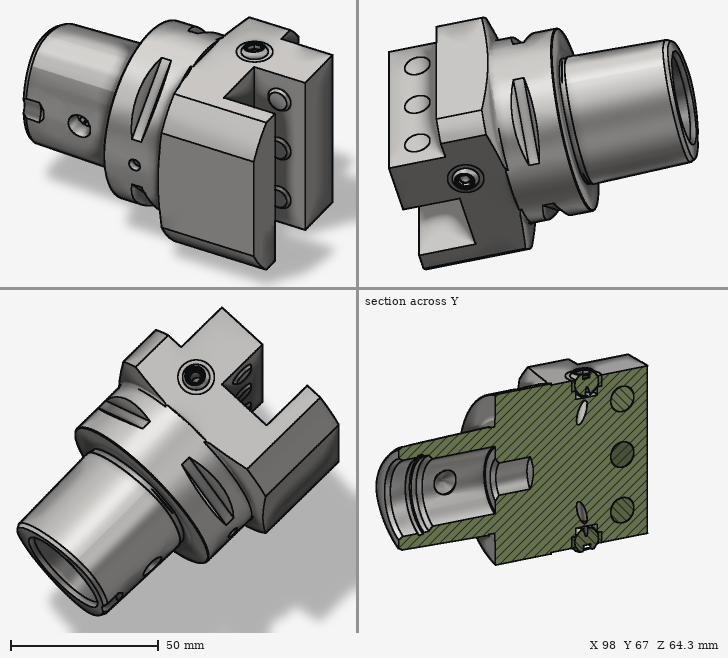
import cadquery as cq
import math


overall_length = 98.0

shank_length = 38.0
shank_width = 44.0
lobe_offset = 1.4
shank_taper = 0.05
neck_length = 2.4
neck_step = 0.3
span_steps = 12
end_chamfer_length = 1.5
end_chamfer_depth = 0.8
lobe_pitch = 120
flat_half_angle = 33.0
neck_radius = 22.4
relief_width = 1.1
relief_chamfer = 0.7
relief_depth = 1.0

notch_radius = 6.7
notch_axis_y = -24.9
notch_length = 6.5
notch_tip_depth = 1.5
notch_tip_length = 2.0
cross_hole_radius = 4.3
cross_hole_x = -15.6

entry_radius = 16.2
entry_chamfer_length = 1.8
bore_radius = 15.3
grip_groove_start = 7.6
grip_groove_end = 9.9
grip_groove_radius = 15.9
grip_groove_side = 0.3
inner_cone_start = 11.9
inner_cone_end = 13.4
inner_radius = 13.9
inner_bevel = 0.3
step_radius = 10.3
step_chamfer_length = 1.5
drill_radius = 9.0
drill_end_x = 13.7
pilot_radius = 4.3
pilot_end_x = 29.4
drill_tip_angle = 59.0

flange_diameter = 63.0
flange_radius = flange_diameter / 2
flange_width = 22.05
flange_chamfer = 0.3
collar_radius = 22.6
collar_root_radius = 24.2
collar_height = 0.3
gripper_x = 12.0
gripper_floor_width = 3.6
gripper_floor_distance = 27.8
gripper_flank_angle = 30.0
gripper_count = 4
gripper_first_angle = 45
mark_radius = 2.2
mark_depth = 2.9

head_end_x = overall_length - shank_length
head_radius = 40.0
head_cone_angle = 75.0
head_fillet_length = 0.9
head_top = 30.2
head_max_y = 32.0
head_min_y = -35.0
slot_floor_x = 40.2
tongue_max_y = 20.1
tongue_min_y = 1.0
slot_min_y = -20.1

screw_radius = 4.4
screw_x = 50.0
screw_pitch = 20.0
screw_reach = 1.1
screw_point_radius = 3.4
screw_rows = (-1, 0, 1)

nozzle_turns = (0, 180)
nozzle_x = 36.0
nozzle_y = 9.0
ring_radius = 6.2
ball_radius = 5.0
ball_depth = 2.0
ball_flat = 3.6
ball_tilt_x = -4.6
ball_tilt_y = 3.4
socket_radius = 2.5
socket_depth = 2.0
socket_chamfer = 0.4
jet_hole_radius = 2.0
ring_height = 2 * ball_depth
ring_opening = math.sqrt(ball_radius**2 - ball_depth**2)
channel_radius = 1.5
channel_start_x = 27.6

overlap = 1.0


def drill_tip(radius):
    return radius / math.tan(math.radians(drill_tip_angle))


def turned(points):
    """Solid of revolution about X from (x, radius) points."""
    return cq.Workplane("XY").polyline(points).close().revolve(360, (0, 0, 0), (1, 0, 0))


def block(x_range, y_range, z_range):
    sizes = [high - low for low, high in (x_range, y_range, z_range)]
    return cq.Workplane("XY").box(*sizes, centered=False).translate((x_range[0], y_range[0], z_range[0]))


def drill_along_y(radius, x, start_y, straight_end_y):
    """Drill of round section along +Y with a conical tip."""
    tip_y = straight_end_y + drill_tip(radius)
    profile = [(0, start_y), (radius, start_y), (radius, straight_end_y), (0, tip_y)]
    drill = cq.Workplane("XY").polyline(profile).close().revolve(360, (0, 0, 0), (0, 1, 0))
    return drill.translate((x, 0, 0))


def polygon_wire(x, width):
    """Three-lobed curve of constant width, with a flat side towards -Y."""
    def point(degrees):
        t = math.radians(degrees)
        a = width / 2 * math.cos(t) - 2 * lobe_offset * math.cos(2 * t) + lobe_offset * math.cos(4 * t)
        b = width / 2 * math.sin(t) + 2 * lobe_offset * math.sin(2 * t) + lobe_offset * math.sin(4 * t)
        return cq.Vector(x, -a, b)

    spans = []
    for flat_middle in range(0, 360, lobe_pitch):
        spans.append((flat_middle - flat_half_angle, flat_middle + flat_half_angle))
        spans.append((flat_middle + flat_half_angle, flat_middle + lobe_pitch - flat_half_angle))
    edges = []
    for start, end in spans:
        points = [point(start + (end - start) * i / span_steps) for i in range(span_steps + 1)]
        edges.append(cq.Edge.makeSpline(points))
    return cq.Wire.assembleEdges(edges)


def polygon_loft(start_x, start_width, end_x, end_width):
    """Straight-sided solid between two polygon sections."""
    wires = [polygon_wire(start_x, start_width), polygon_wire(end_x, end_width)]
    return cq.Workplane(cq.Solid.makeLoft(wires, True))


def make_shank():
    chamfer_x = -shank_length + end_chamfer_length
    small_width = shank_width + shank_taper * (chamfer_x + neck_length)
    tip = polygon_loft(-shank_length, small_width - 2 * end_chamfer_depth, chamfer_x, small_width)
    taper = polygon_loft(chamfer_x, small_width, -neck_length, shank_width)
    neck_width = shank_width - 2 * neck_step
    neck = polygon_loft(-neck_length, neck_width, 0, neck_width)
    trim = turned([
        (-relief_width, neck_radius),
        (0, neck_radius),
        (0, shank_width),
        (-relief_width - relief_chamfer, shank_width),
        (-relief_width - relief_chamfer, neck_radius + relief_depth),
    ])
    return tip.union(taper).union(neck.cut(trim))


def make_flange():
    blend_width = collar_root_radius - collar_radius
    blend_radius = (blend_width**2 + collar_height**2) / (2 * collar_height)
    half_sweep = math.asin(blend_width / blend_radius) / 2
    blend_middle = (
        blend_radius * (math.cos(half_sweep) - 1),
        collar_root_radius - blend_radius * math.sin(half_sweep),
    )
    flange = (
        cq.Workplane("XY")
        .moveTo(flange_width, 0)
        .lineTo(-collar_height, 0)
        .lineTo(-collar_height, collar_radius)
        .threePointArc(blend_middle, (0, collar_root_radius))
        .lineTo(0, flange_radius - flange_chamfer)
        .lineTo(flange_chamfer, flange_radius)
        .lineTo(flange_width, flange_radius)
        .close()
        .revolve(360, (0, 0, 0), (1, 0, 0))
    )
    for i in range(gripper_count):
        flange = flange.cut(gripper_groove(gripper_first_angle + i * 360 / gripper_count))
    mark = drill_along_y(mark_radius, gripper_x, -flange_radius - overlap, -flange_radius + mark_depth)
    return flange.cut(mark)


def gripper_groove(angle):
    """Straight groove with a flat floor and sloping flanks, square to the radius at the given angle."""
    height = flange_radius - gripper_floor_distance + overlap
    floor = gripper_floor_width / 2
    mouth = floor + height * math.tan(math.radians(gripper_flank_angle))
    groove = (
        cq.Workplane("XZ")
        .polyline([(-floor, 0), (floor, 0), (mouth, height), (-mouth, height)])
        .close()
        .extrude(flange_radius, both=True)
        .translate((gripper_x, 0, gripper_floor_distance))
    )
    return groove.rotate((0, 0, 0), (1, 0, 0), angle)


def make_head():
    slope = math.radians(head_cone_angle)
    fillet_start = (flange_width - head_fillet_length, flange_radius)
    fillet_end = (
        flange_width + head_fillet_length * math.cos(slope),
        flange_radius + head_fillet_length * math.sin(slope),
    )
    cone_end_x = flange_width + (head_radius - flange_radius) / math.tan(slope)
    root_x = gripper_x + gripper_floor_width
    root_radius = gripper_floor_distance
    turned_head = (
        cq.Workplane("XY")
        .moveTo(root_x, 0)
        .lineTo(root_x, root_radius)
        .lineTo(fillet_start[0] - overlap, root_radius)
        .lineTo(fillet_start[0] - overlap, flange_radius)
        .lineTo(*fillet_start)
        .tangentArcPoint(fillet_end, relative=False)
        .lineTo(cone_end_x, head_radius)
        .lineTo(head_end_x, head_radius)
        .lineTo(head_end_x, 0)
        .close()
        .revolve(360, (0, 0, 0), (1, 0, 0))
    )
    head_heights = (-head_top, head_top)
    head = turned_head.intersect(block((0, head_end_x), (head_min_y, head_max_y), head_heights))
    cut_x = (slot_floor_x, head_end_x)
    head = head.cut(block(cut_x, (tongue_max_y, head_max_y), head_heights))
    return head.cut(block(cut_x, (slot_min_y, tongue_min_y), head_heights))


def make_bore():
    end = -shank_length
    return turned([
        (end, 0),
        (end, entry_radius),
        (end + entry_chamfer_length, bore_radius),
        (end + grip_groove_start, bore_radius),
        (end + grip_groove_start + grip_groove_side, grip_groove_radius),
        (end + grip_groove_end - grip_groove_side, grip_groove_radius),
        (end + grip_groove_end, bore_radius),
        (end + inner_cone_start, bore_radius),
        (end + inner_cone_end, inner_radius),
        (-inner_bevel, inner_radius),
        (0, inner_radius - inner_bevel),
        (0, step_radius),
        (step_chamfer_length, drill_radius),
        (drill_end_x, drill_radius),
        (drill_end_x + drill_tip(drill_radius) - drill_tip(pilot_radius), pilot_radius),
        (pilot_end_x, pilot_radius),
        (pilot_end_x + drill_tip(pilot_radius), 0),
    ])


def make_notch():
    """Round notch along X in the end of the shank that runs out in a cone."""
    start_x = -shank_length
    tip_x = start_x + notch_length
    notch = turned([
        (start_x, 0),
        (start_x, notch_radius),
        (tip_x, notch_radius),
        (tip_x + notch_tip_length, notch_radius - notch_tip_depth),
        (tip_x + notch_tip_length, 0),
    ])
    return notch.translate((0, notch_axis_y, 0))


def make_cross_hole():
    """Hole through the -Y wall and across the bore, with its tip in the far wall."""
    return drill_along_y(cross_hole_radius, cross_hole_x, -shank_width / 2, inner_radius)


def place_nozzle(shape, turn):
    """Move a shape built about the ball centre to its place; a turn of 180 puts it on the -Z face."""
    return shape.translate((nozzle_x, nozzle_y, head_top - ball_depth)).rotate(
        (nozzle_x, 0, 0), (nozzle_x, 1, 0), turn)


def make_nozzle_pocket():
    """Recess for the seat ring and room for the ball below it."""
    recess = cq.Workplane("XY").workplane(offset=-ball_depth).circle(ring_radius).extrude(ring_height)
    room = cq.Workplane("XY").workplane(offset=-ball_radius).circle(ring_opening).extrude(ball_radius)
    return recess.union(room)


def make_channel(side):
    """Slanted coolant channel from the pilot hole to the nozzle pocket on the given side in Z."""
    start = cq.Vector(channel_start_x, 0, 0)
    run = cq.Vector(nozzle_x, nozzle_y, side * (head_top - ball_depth - ball_radius)) - start
    return cq.Workplane(cq.Solid.makeCylinder(channel_radius, run.Length, start, run))


def make_seat_ring():
    ring = cq.Workplane("XY").workplane(offset=-ball_depth).circle(ring_radius).extrude(ring_height)
    return ring.cut(cq.Workplane("XY").sphere(ball_radius))


def make_nozzle_ball():
    flat_plane = cq.Workplane("XY").workplane(offset=ball_flat)
    beyond_flat = flat_plane.circle(ball_radius).extrude(ball_radius)
    socket = flat_plane.polygon(6, 2 * socket_radius).extrude(-socket_depth)
    jet_hole = cq.Workplane("XY").circle(jet_hole_radius).extrude(ball_radius, both=True)
    mouth = cq.Workplane(cq.Solid.makeCone(
        socket_radius, socket_radius + socket_chamfer, socket_chamfer,
        cq.Vector(0, 0, ball_flat - socket_chamfer)))
    ball = cq.Workplane("XY").sphere(ball_radius).cut(beyond_flat).cut(socket).cut(mouth).cut(jet_hole)
    return ball.rotate((0, 0, 0), (0, 1, 0), ball_tilt_x).rotate((0, 0, 0), (1, 0, 0), -ball_tilt_y)


def make_screw(row):
    """Clamping screw through the tongue, with a bevelled point in the slot."""
    point_y = tongue_min_y - screw_reach
    profile = [
        (0, point_y),
        (screw_point_radius, point_y),
        (screw_radius, tongue_min_y),
        (screw_radius, tongue_max_y),
        (0, tongue_max_y),
    ]
    screw = cq.Workplane("XY").polyline(profile).close().revolve(360, (0, 0, 0), (0, 1, 0))
    return screw.translate((screw_x, 0, row * screw_pitch))


def make_housing(screws):
    housing = make_flange().union(make_head()).union(make_shank())
    for cutter in (make_bore(), make_notch(), make_cross_hole()):
        housing = housing.cut(cutter)
    for turn in nozzle_turns:
        housing = housing.cut(place_nozzle(make_nozzle_pocket(), turn))
    for side in (1, -1):
        housing = housing.cut(make_channel(side))
    for screw in screws:
        housing = housing.cut(screw)
    return housing


screws = [make_screw(row) for row in screw_rows]
seat_rings = [place_nozzle(make_seat_ring(), turn) for turn in nozzle_turns]
nozzle_balls = [place_nozzle(make_nozzle_ball(), turn) for turn in nozzle_turns]
housing = make_housing(screws)

result = cq.Compound.makeCompound(
    [housing.val()]
    + [body.val() for body in screws + seat_rings + nozzle_balls]
)